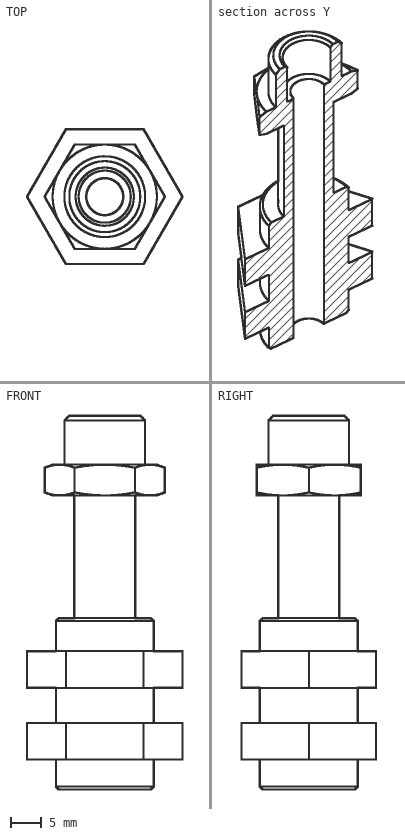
import cadquery as cq
import math

barrel_diameter = 16.0
barrel_length = 28.0
barrel_chamfer = 0.5

lock_nut_across_flats = 22.0
lock_nut_thickness = 6.0
lock_nut_bottoms = (4.9, 16.6)

stem_diameter = 10.0
stem_length = 20.0

collar_across_flats = 17.0
collar_thickness = 5.0
collar_chamfer_angle = 20.0

spigot_diameter = 13.2
spigot_length = 8.0
spigot_chamfer = 0.8

bore_diameter = 6.0
socket_diameter = 8.5
socket_depth = 8.0
socket_mouth_chamfer = 0.5

collar_bottom = barrel_length + stem_length
spigot_bottom = collar_bottom + collar_thickness
total_height = spigot_bottom + spigot_length


def cylinder(diameter, bottom, length):
    return cq.Workplane("XY").workplane(offset=bottom).circle(diameter / 2).extrude(length)


def hexagon(across_flats, bottom, thickness):
    """Hexagonal prism with two corners on the X axis."""
    across_corners = across_flats / math.cos(math.pi / 6)
    return cq.Workplane("XY").workplane(offset=bottom).polygon(6, across_corners).extrude(thickness)


def make_barrel():
    return cylinder(barrel_diameter, 0, barrel_length).faces("<Z or >Z").chamfer(barrel_chamfer)


def make_collar():
    """Hexagon trimmed by a revolved profile whose cones cut back the corners."""
    flat_radius = collar_across_flats / 2
    corner_radius = flat_radius / math.cos(math.pi / 6)
    corner_drop = (corner_radius - flat_radius) * math.tan(math.radians(collar_chamfer_angle))
    trimming_body = (
        cq.Workplane("XZ")
        .moveTo(0, collar_bottom)
        .lineTo(flat_radius, collar_bottom)
        .lineTo(corner_radius, collar_bottom + corner_drop)
        .lineTo(corner_radius, spigot_bottom - corner_drop)
        .lineTo(flat_radius, spigot_bottom)
        .lineTo(0, spigot_bottom)
        .close()
        .revolve(360, (0, 0, 0), (0, 1, 0))
    )
    return hexagon(collar_across_flats, collar_bottom, collar_thickness).intersect(trimming_body)


def make_spigot():
    return cylinder(spigot_diameter, spigot_bottom, spigot_length).faces(">Z").chamfer(spigot_chamfer)


def cut_bore(body):
    """Drill the bore, counterbore the socket and chamfer its mouth."""
    socket = cylinder(socket_diameter, total_height - socket_depth, socket_depth)
    drilled = body.cut(cylinder(bore_diameter, 0, total_height)).cut(socket)
    mouth_edge = drilled.faces(">Z").edges(cq.selectors.RadiusNthSelector(0))
    return mouth_edge.chamfer(socket_mouth_chamfer)


result = make_barrel()
for nut_bottom in lock_nut_bottoms:
    result = result.union(hexagon(lock_nut_across_flats, nut_bottom, lock_nut_thickness))
result = result.union(cylinder(stem_diameter, barrel_length, stem_length))
result = result.union(make_collar())
result = result.union(make_spigot())
result = cut_bore(result)